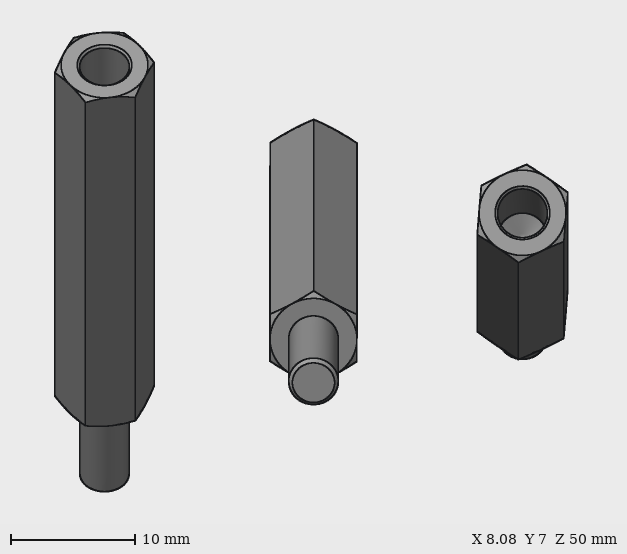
import cadquery as cq
import math

total_length = 50.0
stud_length = 10.0
stud_diameter = 4.0
stud_chamfer = 0.3
across_flats = 7.0
bore_diameter = 4.0
bore_depth = 10.0
drill_point_angle = 118.0
bore_mouth_diameter = 4.4
end_face_diameter = 7.0
corner_chamfer_angle = 30.0

hex_length = total_length - stud_length
across_corners = across_flats / math.cos(math.radians(30))
corner_radius = across_corners / 2
end_face_radius = end_face_diameter / 2
corner_chamfer_height = (corner_radius - end_face_radius) * math.tan(math.radians(corner_chamfer_angle))
bore_radius = bore_diameter / 2
mouth_radius = bore_mouth_diameter / 2
mouth_depth = mouth_radius - bore_radius
drill_point_depth = bore_radius / math.tan(math.radians(drill_point_angle / 2))


def revolve_about_z(points):
    """Turn a closed radius-height outline about the Z axis."""
    return cq.Workplane("XZ").polyline(points).close().revolve(360, (0, 0, 0), (0, 1, 0))


def hex_body():
    """Hexagonal bar with its corners turned off conically at both ends."""
    bar = cq.Workplane("XY").workplane(offset=stud_length).polygon(6, across_corners).extrude(hex_length)
    envelope = revolve_about_z([
        (0, stud_length),
        (end_face_radius, stud_length),
        (corner_radius, stud_length + corner_chamfer_height),
        (corner_radius, total_length - corner_chamfer_height),
        (end_face_radius, total_length),
        (0, total_length),
    ])
    return bar.intersect(envelope)


def stud():
    """Round pin below the bar, chamfered at its free end."""
    return cq.Workplane("XY").circle(stud_diameter / 2).extrude(stud_length).faces("<Z").chamfer(stud_chamfer)


def bore():
    """Blind hole with a countersunk mouth and a conical drill point."""
    bottom = total_length - bore_depth
    return revolve_about_z([
        (0, total_length),
        (mouth_radius, total_length),
        (bore_radius, total_length - mouth_depth),
        (bore_radius, bottom),
        (0, bottom - drill_point_depth),
    ])


result = hex_body().union(stud()).cut(bore())